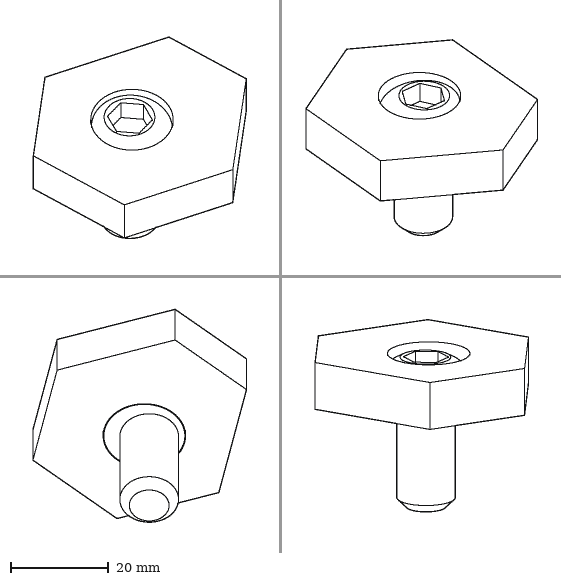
import cadquery as cq
import math

side_count = 6
corner_span = 48.5
nearest_side = 18.0
opposite_side = corner_span * math.sqrt(3) / 4
side_step = (opposite_side - nearest_side) / (side_count / 2)
first_side_angle = 180.0
plate_thickness = 10.0
bore_radius = 8.45

head_clearance = 0.15
head_radius = bore_radius - head_clearance
head_recess = 0.5
head_top = plate_thickness - head_recess
dome_offset = 1.25
dome_radius = 12.6
flat_radius = 5.2

eccentricity = 1.0
shank_radius = 6.0
shank_length = 22.35
tip_chamfer = 1.95
socket_sides = 6
socket_across_flats = 8.0
socket_depth = 4.45


def hexagon_corners():
    """Corners where each side line of the plate meets the next one, counter-clockwise."""
    turn = math.radians(360.0 / side_count)
    corners = []
    for i in range(side_count):
        angle = math.radians(first_side_angle) + i * turn
        distance = nearest_side + i * side_step
        next_distance = nearest_side + (i + 1) % side_count * side_step
        along_side = (next_distance - distance * math.cos(turn)) / math.sin(turn)
        corners.append((
            distance * math.cos(angle) - along_side * math.sin(angle),
            distance * math.sin(angle) + along_side * math.cos(angle),
        ))
    return corners


def make_plate():
    """Irregular hexagonal plate with a plain through bore on the Z axis."""
    blank = cq.Workplane("XY").polyline(hexagon_corners()).close().extrude(plate_thickness)
    bore = cq.Workplane("XY").circle(bore_radius).extrude(plate_thickness)
    return blank.cut(bore)


def dome_height(radius):
    """Height of the spherical dome at a given distance from the dome axis."""
    center_height = head_top - math.sqrt(dome_radius**2 - flat_radius**2)
    return center_height + math.sqrt(dome_radius**2 - radius**2)


def make_head():
    """Flat-topped dome on its own offset axis, trimmed by a cylinder coaxial with the bore."""
    blank_radius = head_radius + dome_offset
    middle_radius = (flat_radius + blank_radius) / 2
    dome = (
        cq.Workplane("XZ")
        .lineTo(blank_radius, 0)
        .lineTo(blank_radius, dome_height(blank_radius))
        .threePointArc((middle_radius, dome_height(middle_radius)), (flat_radius, head_top))
        .lineTo(0, head_top)
        .close()
        .revolve(360, (0, 0, 0), (0, 1, 0))
        .translate((-dome_offset, 0, 0))
    )
    trim = cq.Workplane("XY").circle(head_radius).extrude(plate_thickness)
    return dome.intersect(trim)


def make_shank():
    """Round shank below the head, with a chamfered tip."""
    return (
        cq.Workplane("XY", origin=(-eccentricity, 0, 0))
        .circle(shank_radius)
        .extrude(-shank_length)
        .faces("<Z")
        .chamfer(tip_chamfer)
    )


def make_socket():
    """Hexagonal key socket on the shank axis, sunk from the flat top of the head."""
    across_corners = socket_across_flats / math.cos(math.pi / socket_sides)
    return (
        cq.Workplane("XY", origin=(-eccentricity, 0, head_top))
        .polygon(socket_sides, across_corners)
        .extrude(-socket_depth)
    )


def make_screw():
    """One-piece eccentric screw: head and shank joined, with the key socket cut in."""
    return make_head().union(make_shank()).cut(make_socket())


plate = make_plate()
screw = make_screw()
result = cq.Compound.makeCompound([plate.solids().val(), screw.solids().val()])